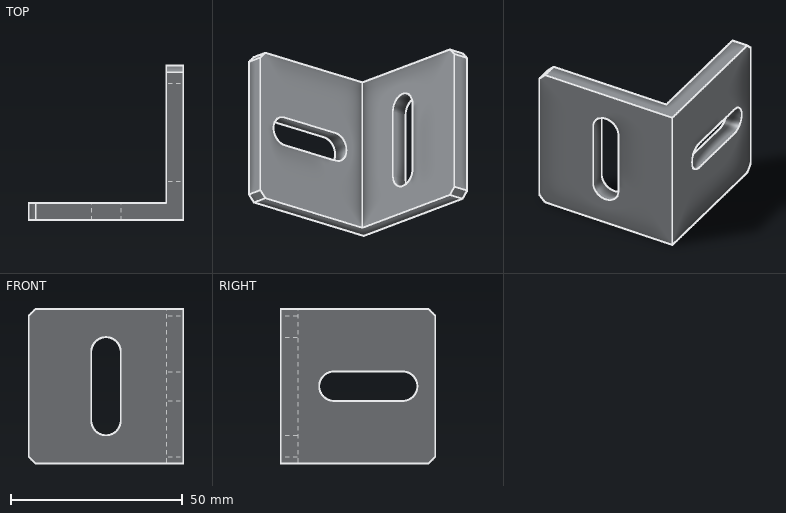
import cadquery as cq

side = 45.0
thickness = 5.0
corner_chamfer = 2.0

slot_width = 8.5
slot_travel = 20.0
slot_length = slot_travel + slot_width
front_slot_x = side / 2
side_slot_y = 25.5
mid_height = side / 2


def make_front_leg():
    """Leg along X at Y = 0, with its free end at X = 0 chamfered top and bottom."""
    leg = cq.Workplane("XY").box(side, thickness, side, centered=False)
    return leg.edges("|Y and <X").chamfer(corner_chamfer)


def make_side_leg():
    """Leg along Y at X = side, with its free end at Y = side chamfered top and bottom."""
    leg = cq.Workplane("XY").box(thickness, side, side, centered=False)
    leg = leg.edges("|X and >Y").chamfer(corner_chamfer)
    return leg.translate((side - thickness, 0, 0))


def make_front_slot():
    """Vertical slot cutter through the front leg."""
    plane = cq.Workplane("XZ", origin=(front_slot_x, thickness, mid_height))
    return plane.slot2D(slot_length, slot_width, 90).extrude(thickness)


def make_side_slot():
    """Horizontal slot cutter through the side leg."""
    plane = cq.Workplane("YZ", origin=(side - thickness, side_slot_y, mid_height))
    return plane.slot2D(slot_length, slot_width).extrude(thickness)


bracket = make_front_leg().union(make_side_leg())
result = bracket.cut(make_front_slot()).cut(make_side_slot())